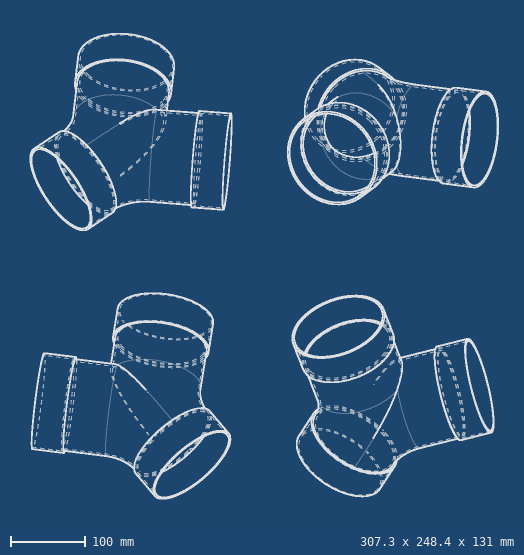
import cadquery as cq
import math

overall_width = 307.3
pipe_diameter = 125.0
wall = 3.0
socket_outer_diameter = 131.0
socket_length = 43.0
branch_angle = 45.0

bore_diameter = pipe_diameter - 2 * wall
socket_depth = socket_length - wall
bend_radius = pipe_diameter
turn = math.radians(branch_angle)
branch_direction = cq.Vector(-math.sin(turn), math.cos(turn), 0)
bend_end = cq.Vector(
    -bend_radius * (1 - math.cos(turn)),
    socket_length + bend_radius * math.sin(turn),
    0,
)
mouth_offset = overall_width / 2 - socket_outer_diameter / 2 * math.cos(turn)
branch_length = (mouth_offset + bend_end.x) / math.sin(turn)
branch_mouth = bend_end + branch_direction * branch_length


def rod(start, direction, diameter, length):
    """Solid round bar from a start point along a direction."""
    return cq.Workplane(cq.Solid.makeCylinder(diameter / 2, length, start, direction))


def bend_and_branch(diameter):
    """Round bar that turns left from the inlet socket and runs straight to the branch mouth."""
    bend = (
        cq.Workplane("XZ", origin=(0, socket_length, 0))
        .circle(diameter / 2)
        .revolve(branch_angle, (-bend_radius, -3, 0), (-bend_radius, 3, 0))
    )
    return bend.union(rod(bend_end, branch_direction, diameter, branch_length))


def both_sides(left):
    """Left body joined to its mirror image across the plane X = 0."""
    return left.union(left.mirror("YZ"))


inlet_direction = cq.Vector(0, 1, 0)
inlet_mouth = cq.Vector(0, 0, 0)
inlet_socket = rod(inlet_mouth, inlet_direction, socket_outer_diameter, socket_length)
branch_socket = rod(branch_mouth, -branch_direction, socket_outer_diameter, socket_length)
body = inlet_socket.union(both_sides(bend_and_branch(pipe_diameter).union(branch_socket)))

branch_recess = rod(branch_mouth, -branch_direction, pipe_diameter, socket_depth)
passage = both_sides(bend_and_branch(bore_diameter).union(branch_recess))
inlet_recess = rod(inlet_mouth, inlet_direction, pipe_diameter, socket_depth)

result = body.cut(passage).cut(inlet_recess)